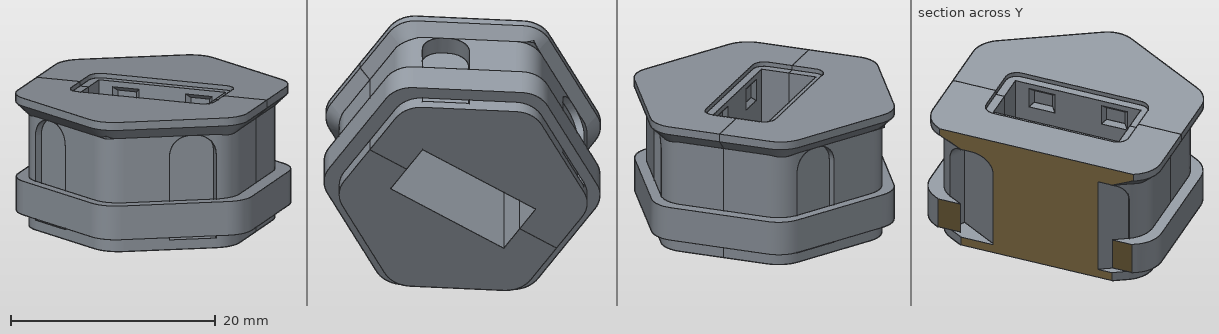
import cadquery as cq
import math

total_length_y = 26.85
total_height = 13.4
corner_radius = 3.0

rim_thickness = 0.8
overhang = 1.13
slope_angle = 45
socket_length = 13.2
socket_width = 5.7
bezel_length = 15.0
bezel_width = 7.3
bezel_depth = 0.45
bezel_corner_radius = 1.2
window_width = 2.75
window_height = 2.2
window_depth = 0.4
window_offset_x = 3.8
window_drop = 0.56
pocket_width = 4.62
pocket_corner_radius = 1.99
pocket_floor_z = 1.0
shallow_pocket_depth = 0.75
deep_pocket_depth = 1.8

ring_length_x = 24.4
ring_length_y = 26.75
ring_height = 3.4
ring_bottom_z = 1.53
ring_shift_x = 0.15
ring_shift_y = 0.04

slant = math.radians(30)
corner_cut = corner_radius * (1 / math.cos(slant) - 1)
flange_apothem = (total_length_y / 2 + corner_cut) * math.cos(slant)
ring_slant_apothem = (ring_length_y / 2 + corner_cut) * math.cos(slant)
body_apothem = flange_apothem - overhang
rim_bottom_z = total_height - rim_thickness
collar_bottom_z = rim_bottom_z - overhang


def hexagon_prism(slant_apothem, side_apothem, height):
    """Prism with two corners on the Y axis; its two X sides lie at side_apothem."""
    tip_y = slant_apothem / math.cos(slant)
    side_y = tip_y - side_apothem * math.tan(slant)
    right = [(side_apothem, -side_y), (side_apothem, side_y)]
    left = [(-side_apothem, side_y), (-side_apothem, -side_y)]
    points = [(0, -tip_y)] + right + [(0, tip_y)] + left
    return cq.Workplane("XY").polyline(points).close().extrude(height)


def rounded_hexagon(slant_apothem, side_apothem, height):
    """Hexagon prism with all six upright edges rounded."""
    return hexagon_prism(slant_apothem, side_apothem, height).edges("|Z").fillet(corner_radius)


def taper():
    """Cone-cornered slope under the rim, reaching below the collar except at the two Y tips."""
    depth = overhang + corner_cut
    outline = rounded_hexagon(flange_apothem, flange_apothem, rim_thickness).faces("<Z").wires().val()
    slope = cq.Workplane("XY").add(outline).toPending().extrude(-depth, taper=slope_angle)
    tip_trim = cq.Workplane("XY").box(
        body_apothem, 2 * total_length_y, depth, centered=(True, True, False)
    ).translate((0, 0, -overhang - depth))
    return slope.cut(tip_trim).translate((0, 0, rim_bottom_z))


def collar():
    """Body outline with sharp corners at its two Y tips."""
    blank = hexagon_prism(body_apothem, body_apothem, overhang)
    return blank.edges("|Z and (>X or <X)").fillet(corner_radius).translate((0, 0, collar_bottom_z))


def socket():
    """Plug opening through the housing with a shallow rounded recess around its mouth."""
    opening = cq.Workplane("XY").rect(socket_length, socket_width).extrude(total_height)
    bezel = cq.Workplane("XY").rect(bezel_length, bezel_width).extrude(bezel_depth)
    bezel = bezel.edges("|Z").fillet(bezel_corner_radius)
    return opening.union(bezel.translate((0, 0, total_height - bezel_depth)))


def windows():
    """Spring windows in both long walls of the socket, narrowing at 45 degrees into the wall."""
    center_z = total_height - bezel_depth - window_drop - window_height / 2
    centers = [(-window_offset_x, center_z), (window_offset_x, center_z)]
    mouths = cq.Workplane("XZ", origin=(0, -socket_width / 2, 0)).pushPoints(centers)
    front = mouths.rect(window_width, window_height).extrude(window_depth, taper=slope_angle)
    return front.union(front.mirror("XZ"))


def side_pocket(angle, direction, depth):
    """Pocket with a rounded top from the middle of the face at angle towards its X corner."""
    height = collar_bottom_z - pocket_floor_z
    pocket = cq.Workplane("XY").box(depth, pocket_width, height, centered=(False, True, False))
    pocket = pocket.edges("|X and >Z").fillet(pocket_corner_radius)
    place = (body_apothem - depth, direction * pocket_width / 2, pocket_floor_z)
    return pocket.translate(place).rotate((0, 0, 0), (0, 0, 1), angle)


def full_housing():
    """Both halves together; the pockets on the +X side are deeper."""
    housing = rounded_hexagon(body_apothem, body_apothem, total_height - rim_thickness)
    rim = rounded_hexagon(flange_apothem, flange_apothem, rim_thickness)
    housing = housing.union(collar()).union(taper())
    housing = housing.union(rim.translate((0, 0, rim_bottom_z)))
    housing = housing.cut(socket()).cut(windows())
    for angle, direction, depth in (
        (60, -1, deep_pocket_depth),
        (-60, 1, deep_pocket_depth),
        (120, 1, shallow_pocket_depth),
        (-120, -1, shallow_pocket_depth),
    ):
        housing = housing.cut(side_pocket(angle, direction, depth))
    return housing


def housing_half(side):
    """Half of the housing on one side of the plane Y = 0."""
    half_space = cq.Workplane("XY").box(
        2 * total_length_y, total_length_y, total_height, centered=(True, True, False)
    )
    return full_housing().intersect(half_space.translate((0, side * total_length_y / 2, 0)))


def clamp_ring():
    """Ring around the housing, set slightly off its axis."""
    outer = rounded_hexagon(ring_slant_apothem, ring_length_x / 2, ring_height)
    outer = outer.translate((ring_shift_x, ring_shift_y, ring_bottom_z))
    hole = rounded_hexagon(body_apothem, body_apothem, total_height)
    return outer.cut(hole)


halves = [housing_half(side) for side in (-1, 1)]
ring = clamp_ring()
result = cq.Compound.makeCompound([half.val() for half in halves] + [ring.val()])